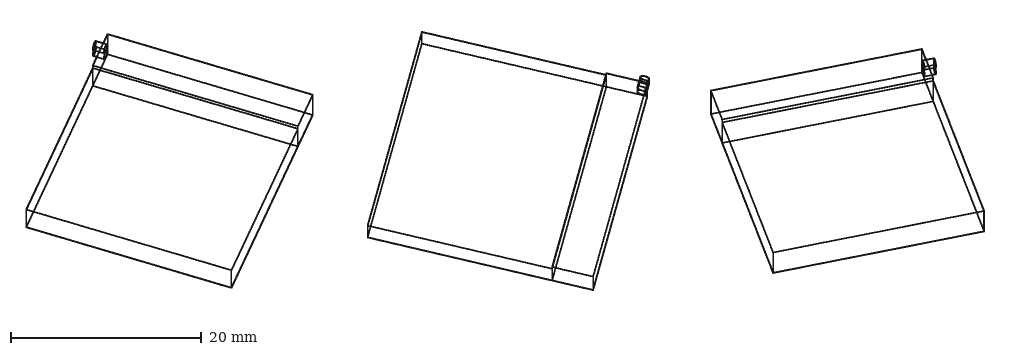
import cadquery as cq

total_depth = 24.4
block_width = 22.95

header_depth = 4.45
header_height = 3.5
plate_depth = total_depth - header_depth
plate_height = 3.05

wire_diameter = 1.0
wire_length = 1.25
wire_count = 2
wire_back_gap = 0.1
wire_floor_gap = 0.17
wire_y = total_depth - wire_back_gap - wire_diameter / 2
lowest_wire_z = wire_floor_gap + wire_diameter / 2


def make_block(depth, height, front_y):
    """Full-width rectangular block standing on the base plane, starting at front_y."""
    return cq.Workplane("XY").box(block_width, depth, height, centered=False).translate((0, front_y, 0))


def make_wire(center_z):
    """Round wire stub that ends flush against the header and points toward -X."""
    return (
        cq.Workplane("YZ")
        .center(wire_y, center_z)
        .circle(wire_diameter / 2)
        .extrude(-wire_length)
    )


plate = make_block(plate_depth, plate_height, 0)
header = make_block(header_depth, header_height, plate_depth)

wires = []
for index in range(wire_count):
    wires.append(make_wire(lowest_wire_z + index * wire_diameter))

result = cq.Compound.makeCompound([plate.val(), header.val(), *[wire.val() for wire in wires]])